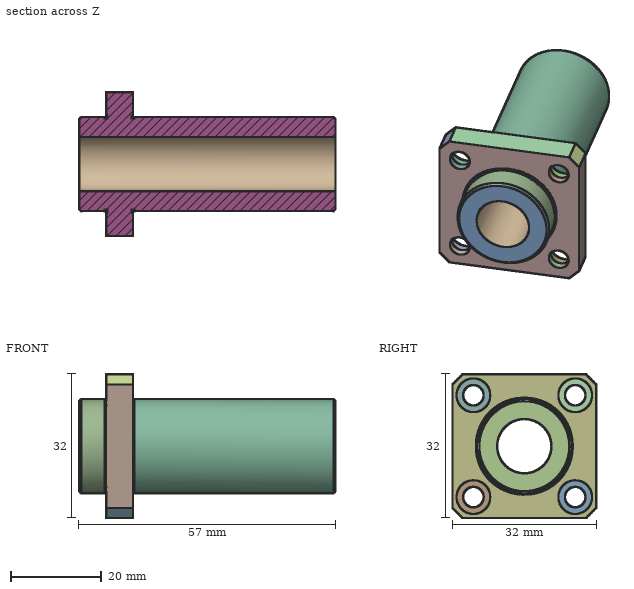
import cadquery as cq
import math

total_length = 57.0
sleeve_diameter = 21.0
bore_diameter = 12.0
end_chamfer = 0.5

flange_start = 6.0
flange_thickness = 6.0
flange_side = 32.0
flange_corner_chamfer = 2.3
bolt_circle_diameter = 32.0
bolt_hole_diameter = 4.5
counterbore_diameter = 7.5
counterbore_depth = 4.1

undercut_size = 0.3
undercut_inner_diameter = sleeve_diameter - 2 * undercut_size
undercut_outer_diameter = sleeve_diameter + 2 * undercut_size

flange_end = flange_start + flange_thickness


def cylinder_along_x(diameter, start, length):
    return cq.Workplane("YZ", origin=(start, 0, 0)).circle(diameter / 2).extrude(length)


def make_sleeve():
    sleeve = cylinder_along_x(sleeve_diameter, 0, total_length)
    return sleeve.faces("<X or >X").chamfer(end_chamfer)


def four_corner_cylinders(diameter, depth):
    """Four cylinders on the flange diagonals, reaching in from its back face."""
    spacing = bolt_circle_diameter / math.sqrt(2)
    back_face = cq.Workplane("YZ", origin=(flange_end, 0, 0))
    centers = back_face.rect(spacing, spacing, forConstruction=True).vertices()
    return centers.circle(diameter / 2).extrude(-depth)


def make_flange():
    plate = cq.Workplane("YZ", origin=(flange_start, 0, 0)).rect(flange_side, flange_side)
    plate = plate.extrude(flange_thickness).edges("|X").chamfer(flange_corner_chamfer)
    bolt_holes = four_corner_cylinders(bolt_hole_diameter, flange_thickness)
    counterbores = four_corner_cylinders(counterbore_diameter, counterbore_depth)
    return plate.cut(bolt_holes).cut(counterbores)


def corner_undercut(flange_face):
    """Ring to remove, straddling the flange face at the given X."""
    start = flange_face - undercut_size
    length = 2 * undercut_size
    outer = cylinder_along_x(undercut_outer_diameter, start, length)
    inner = cylinder_along_x(undercut_inner_diameter, start, length)
    return outer.cut(inner)


bore = cylinder_along_x(bore_diameter, 0, total_length)

result = make_sleeve().union(make_flange()).cut(bore)
for flange_face in (flange_start, flange_end):
    result = result.cut(corner_undercut(flange_face))